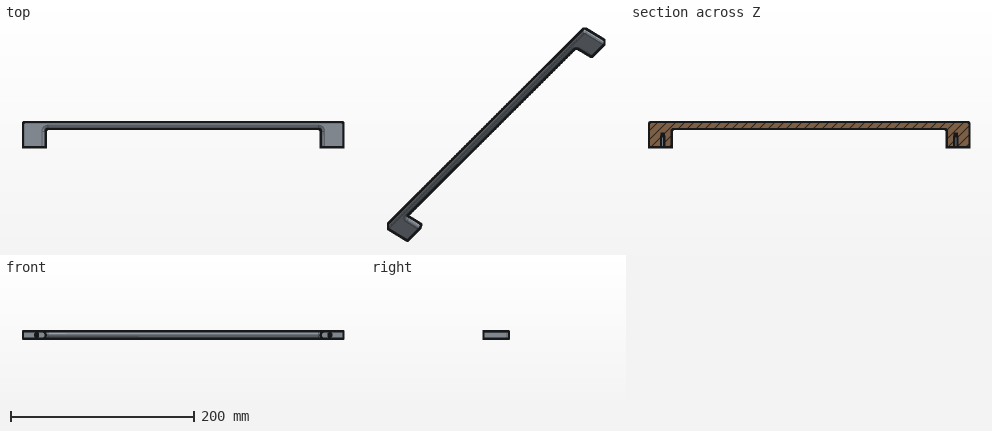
import cadquery as cq

LENGTH = 350.0
DEPTH = 28.0
THICKNESS = 8.5

FOOT_WIDTH = 25.0
BAR_DEPTH = 8.0
INNER_BEND_RADIUS = 2.5
OUTER_CORNER_RADIUS = 2.5

INNER_EDGE_RADIUS = THICKNESS / 2 - 0.0001
OUTER_EDGE_RADIUS = 1.25

HOLE_SPACING = 320.0
HOLE_DIAMETER = 3.3
HOLE_TIP_DIAMETER = 2.0
HOLE_TIP_DEPTH = 3.0
HOLE_DEPTH = 12.0

HALF_LENGTH = LENGTH / 2
HALF_OPENING = HALF_LENGTH - FOOT_WIDTH
BACK_Y = -DEPTH / 2
FRONT_Y = DEPTH / 2
BAR_INNER_Y = FRONT_Y - BAR_DEPTH


def outer_block():
    """Full-size plate with rounded front corners and softened outer edges."""
    block = (
        cq.Workplane("XY")
        .box(LENGTH, DEPTH, THICKNESS)
        .edges("|Z and >Y")
        .fillet(OUTER_CORNER_RADIUS)
    )
    for face in (">Z", "<Z"):
        outer_edges = block.faces(face).edges("not(<Y)")
        block = outer_edges.fillet(OUTER_EDGE_RADIUS)
    return block


def opening():
    """Space for the hand between the feet, with rounded inner bends."""
    return (
        cq.Workplane("XY")
        .box(2 * HALF_OPENING, BAR_INNER_Y - BACK_Y, THICKNESS)
        .translate((0, (BAR_INNER_Y + BACK_Y) / 2, 0))
        .edges("|Z and >Y")
        .fillet(INNER_BEND_RADIUS)
    )


def round_inner_edges(body):
    """Half-round the inner side of the bar and feet."""
    selection_margin = 0.5
    picker = cq.selectors.BoxSelector(
        (-HALF_OPENING - selection_margin, BACK_Y - selection_margin, -THICKNESS),
        (HALF_OPENING + selection_margin, BAR_INNER_Y + selection_margin, THICKNESS),
    )
    for face in (">Z", "<Z"):
        inner_edges = body.faces(face).edges(picker).edges("not(<Y)")
        body = inner_edges.fillet(INNER_EDGE_RADIUS)
    return body


def screw_hole(x):
    """Stepped blind hole running into the back end of a foot."""
    return (
        cq.Workplane("XZ", origin=(x, BACK_Y, 0))
        .circle(HOLE_DIAMETER / 2)
        .extrude(-HOLE_DEPTH)
        .faces(">Y")
        .workplane(origin=(x, BACK_Y + HOLE_DEPTH, 0))
        .circle(HOLE_TIP_DIAMETER / 2)
        .extrude(HOLE_TIP_DEPTH)
    )


result = round_inner_edges(outer_block().cut(opening()))
for hole_x in (-HOLE_SPACING / 2, HOLE_SPACING / 2):
    result = result.cut(screw_hole(hole_x))